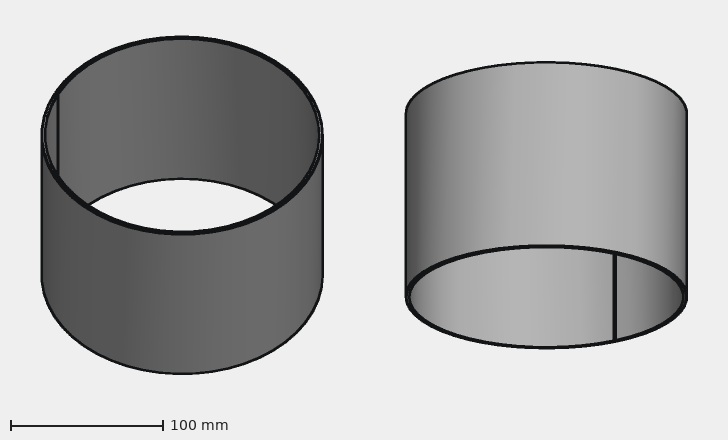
import cadquery as cq

OUTER_DIAMETER = 185.0
WALL = 2.5
HEIGHT = 130.0
OUTER_CHAMFER = 0.5
INNER_CHAMFER = 0.2
SLIT_ANGLE = 1.0

OUTER_RADIUS = OUTER_DIAMETER / 2
INNER_RADIUS = OUTER_RADIUS - WALL
FULL_TURN = 360.0


def wall_section():
    """Wall cross-section in the XZ plane, on the -X side of the axis."""
    return (
        cq.Workplane("XZ")
        .moveTo(-OUTER_RADIUS + OUTER_CHAMFER, 0)
        .lineTo(-OUTER_RADIUS, OUTER_CHAMFER)
        .lineTo(-OUTER_RADIUS, HEIGHT - OUTER_CHAMFER)
        .lineTo(-OUTER_RADIUS + OUTER_CHAMFER, HEIGHT)
        .lineTo(-INNER_RADIUS - INNER_CHAMFER, HEIGHT)
        .lineTo(-INNER_RADIUS, HEIGHT - INNER_CHAMFER)
        .lineTo(-INNER_RADIUS, INNER_CHAMFER)
        .lineTo(-INNER_RADIUS - INNER_CHAMFER, 0)
        .close()
    )


def split_sleeve():
    """Revolve the wall about Z from the -X axis, leaving the slit open on its +Y side."""
    axis_start = (0, 0)
    axis_end = (0, 1)
    return wall_section().revolve(FULL_TURN - SLIT_ANGLE, axis_start, axis_end)


result = split_sleeve()